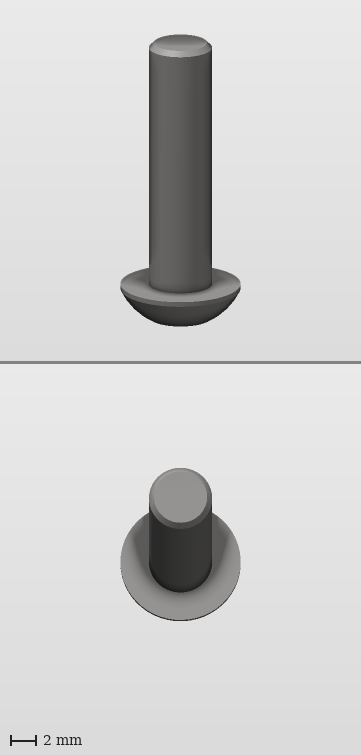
import cadquery as cq
import math

shank_diameter = 5.0
shank_length = 20.0
head_diameter = 9.5
head_height = 2.75
rim_height = 0.38
crown_diameter = 5.0
tip_diameter = 4.2
tip_height = 0.4

shank_radius = shank_diameter / 2
head_radius = head_diameter / 2
crown_radius = crown_diameter / 2
tip_radius = tip_diameter / 2

crown_z = -head_height
rim_z = -rim_height
dome_height = head_height - rim_height

sphere_center_z = (head_radius**2 + rim_z**2 - crown_radius**2 - crown_z**2) / (2 * (rim_z - crown_z))
sphere_radius = math.hypot(head_radius, rim_z - sphere_center_z)
dome_mid_z = rim_z - dome_height / 2
dome_mid_radius = math.sqrt(sphere_radius**2 - (dome_mid_z - sphere_center_z) ** 2)


def make_head():
    """Revolve the domed head with its flat crown and straight rim."""
    return (
        cq.Workplane("XZ")
        .moveTo(0, crown_z)
        .lineTo(crown_radius, crown_z)
        .threePointArc((dome_mid_radius, dome_mid_z), (head_radius, rim_z))
        .lineTo(head_radius, 0)
        .lineTo(0, 0)
        .close()
        .revolve(360, (0, 0), (0, 1))
    )


def make_shank():
    """Revolve the plain shank with its chamfered tip."""
    return (
        cq.Workplane("XZ")
        .lineTo(shank_radius, 0)
        .lineTo(shank_radius, shank_length - tip_height)
        .lineTo(tip_radius, shank_length)
        .lineTo(0, shank_length)
        .close()
        .revolve(360, (0, 0), (0, 1))
    )


result = make_head().union(make_shank())